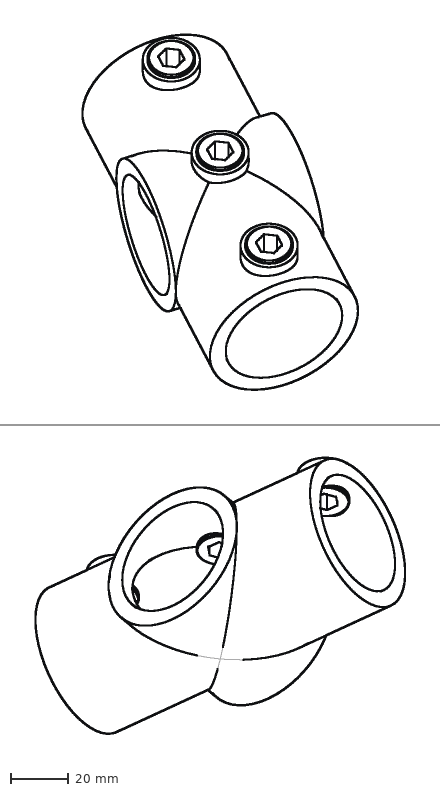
import cadquery as cq
import math

main_length = 120.0
tube_diameter = 56.0
bore_diameter = 44.0
cross_length = tube_diameter

boss_diameter = 20.0
boss_top = 32.4
end_screw_offset = 46.0
screw_positions = (-end_screw_offset, 0, end_screw_offset)

screw_diameter = 16.8
overall_height = 61.5
screw_top = overall_height - tube_diameter / 2
screw_bottom = 20.5
screw_top_chamfer = 0.6
screw_bottom_chamfer = 0.4
socket_across_flats = 8.0
socket_across_corners = socket_across_flats / math.cos(math.pi / 6)


def cylinder_along_x(diameter, length):
    return cq.Workplane("YZ").circle(diameter / 2).extrude(length / 2, both=True)


def cylinder_along_y(diameter, length):
    return cq.Workplane("XZ").circle(diameter / 2).extrude(length / 2, both=True)


def upright_cylinder(x, diameter, bottom, top):
    return cq.Workplane("XY", origin=(x, 0, bottom)).circle(diameter / 2).extrude(top - bottom)


def make_fitting():
    """Two crossed tubes with bosses and a plain hole for each set screw."""
    fitting = cylinder_along_x(tube_diameter, main_length)
    fitting = fitting.union(cylinder_along_y(tube_diameter, cross_length))
    for x in screw_positions:
        fitting = fitting.union(upright_cylinder(x, boss_diameter, 0, boss_top))
    fitting = fitting.cut(cylinder_along_x(bore_diameter, main_length))
    fitting = fitting.cut(cylinder_along_y(bore_diameter, cross_length))
    for x in screw_positions:
        fitting = fitting.cut(upright_cylinder(x, screw_diameter, 0, boss_top))
    return fitting


def make_set_screw(x):
    """Headless screw chamfered at both ends, with a corner of its socket along X."""
    screw = upright_cylinder(x, screw_diameter, screw_bottom, screw_top)
    screw = screw.faces(">Z").chamfer(screw_top_chamfer)
    screw = screw.faces("<Z").chamfer(screw_bottom_chamfer)
    socket = (
        cq.Workplane("XY", origin=(x, 0, screw_bottom))
        .polygon(6, socket_across_corners)
        .extrude(screw_top - screw_bottom)
    )
    return screw.cut(socket)


fitting = make_fitting()
set_screws = [make_set_screw(x) for x in screw_positions]

result = cq.Compound.makeCompound([fitting.val(), *[screw.val() for screw in set_screws]])